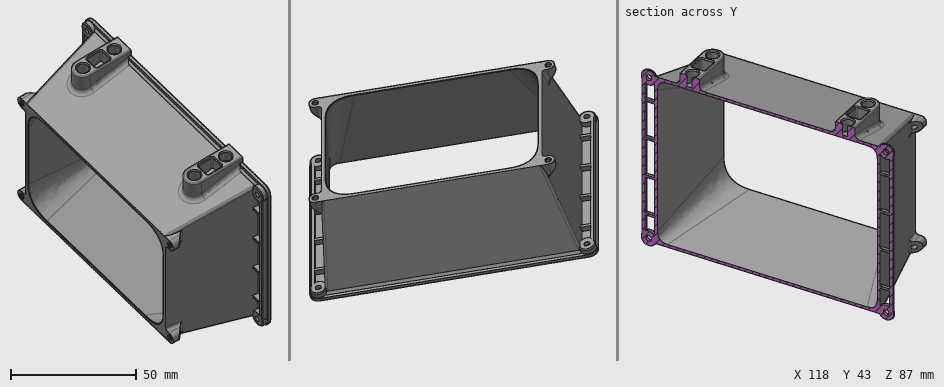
import cadquery as cq


flange_width = 118.0
flange_height = 84.0
flange_thickness = 1.7
flange_corner_radius = 4.0
flange_edge_chamfer = 0.4

depth = 43.0
back_width = 105.7
back_height = 80.5
front_width = 90.4
front_height = 62.0
corner_radius = 1.1
wall = 1.5
back_corner_reach = 4.1
front_corner_reach = 11.8
front_lip_chamfer = 0.2

strip_height = 0.7
strip_depth = 1.1

ear_radius = 3.5
ear_hole_radius = 1.2
rail_depth = 4.0
rail_outer = 58.2
rail_width = 1.7
rail_chamfer = 0.5
rib_pitch = 17.9
rib_count = 4
rib_width = 1.3

lug_radius = 2.6
lug_x = 47.7
lug_straight_depth = 2.8
lug_slope_run = 10.6
lug_hole_radius = 1.0
lug_hole_depth = 7.7
lug_hole_chamfer = 0.4
lug_fillet = 1.4

boss_x = 36.0
boss_top = 45.0
boss_radius = 4.6
boss_length = 21.0
boss_base_fillet = 2.1
boss_top_fillet = 0.6
boss_hole_radius = 2.5
boss_hole_depths = (5.1, boss_length)
boss_pocket_width = 6.1
boss_pocket_length = 7.4
boss_pocket_radius = 0.7
boss_mouth_chamfer = 0.5

margin = 0.1

mouth_taper = 45

ear_x = flange_width / 2 - flange_corner_radius
ear_z = flange_height / 2 - flange_corner_radius
lug_z = front_height / 2 - lug_radius
boss_pocket_depth = sum(boss_hole_depths) / 2
four_corners = [(sx, sz) for sx in (-1, 1) for sz in (-1, 1)]
ear_places = [(sx * ear_x, sz * ear_z) for sx, sz in four_corners]


def wall_x(at_depth):
    """Half width of the funnel's outside at a depth."""
    return (back_width + (front_width - back_width) * at_depth / depth) / 2


def wall_z(at_depth):
    """Half height of the funnel's outside at a depth."""
    return (back_height + (front_height - back_height) * at_depth / depth) / 2


def at(plane_depth):
    """Workplane at a depth; its x is X, its y is Z and it extrudes toward the front."""
    return cq.Workplane("XZ", origin=(0, -plane_depth, 0))


def rounded_rectangle(width, height, radius):
    """Rectangle with equal arcs at its corners."""
    return cq.Sketch().rect(width, height).vertices().fillet(radius)


def opening(at_depth, width, height, reach):
    """Rectangular wire whose corners are smooth parabolic blends that start `reach` from each corner."""
    x, z = width / 2, height / 2
    return (
        at(at_depth)
        .moveTo(reach - x, -z)
        .lineTo(x - reach, -z)
        .bezier([(x, -z), (x, reach - z)], includeCurrent=True)
        .lineTo(x, z - reach)
        .bezier([(x, z), (x - reach, z)], includeCurrent=True)
        .lineTo(reach - x, z)
        .bezier([(-x, z), (-x, z - reach)], includeCurrent=True)
        .lineTo(-x, reach - z)
        .bezier([(-x, -z), (reach - x, -z)], includeCurrent=True)
        .close()
        .val()
    )


def funnel_outside():
    block = at(0).rect(back_width, back_height).workplane(offset=depth)
    block = block.rect(front_width, front_height).loft(combine=True)
    return block.edges("not(|X or |Z)").fillet(corner_radius)


def funnel_inside():
    """Tapered cavity, narrowest just behind the flared front lip."""
    mouth = (front_width - 2 * wall, front_height - 2 * wall)
    throat = [size - 2 * front_lip_chamfer for size in mouth]
    throat_depth = depth - front_lip_chamfer
    back_wire = opening(0, back_width - 2 * wall, back_height - 2 * wall, back_corner_reach)
    throat_wire = opening(throat_depth, *throat, front_corner_reach)
    mouth_wire = opening(depth, *mouth, front_corner_reach)
    cavity = cq.Solid.makeLoft([back_wire, throat_wire], True)
    lip = cq.Solid.makeLoft([throat_wire, mouth_wire], True)
    return cq.Workplane(cavity).union(cq.Workplane(lip))


def add_bosses(body):
    """Upright bosses with round front ends, blended into the sloping top wall."""
    for x in (-boss_x, boss_x):
        boss = (
            cq.Workplane("XY", origin=(x, 0, 0))
            .moveTo(-boss_radius, 0)
            .lineTo(-boss_radius, -boss_length)
            .threePointArc((0, -boss_length - boss_radius), (boss_radius, -boss_length))
            .lineTo(boss_radius, 0)
            .close()
            .extrude(boss_top)
        )
        boss = boss.faces(">Z").edges("not(>Y)").fillet(boss_top_fillet)
        body = body.union(boss)
        base_box = cq.selectors.BoxSelector(
            (x - boss_radius - margin, margin, wall_z(boss_length + boss_radius) - margin),
            (x + boss_radius + margin, -boss_length - boss_radius - margin, wall_z(0) + margin),
            boundingbox=True,
        )
        body = body.edges(base_box).edges("not(>Y)").fillet(boss_base_fillet)
    return body


def boss_hollows(outside):
    """Holes and pockets with chamfered mouths, down to the sloping outer face of the funnel."""
    hollows = cq.Workplane("XY")
    top = cq.Workplane("XY", origin=(0, 0, boss_top))
    pocket = rounded_rectangle(boss_pocket_width, boss_pocket_length, boss_pocket_radius)
    pocket_mouth = rounded_rectangle(
        boss_pocket_width + 2 * boss_mouth_chamfer,
        boss_pocket_length + 2 * boss_mouth_chamfer,
        boss_pocket_radius + boss_mouth_chamfer,
    )
    for x in (-boss_x, boss_x):
        holes = top.pushPoints([(x, -hole_depth) for hole_depth in boss_hole_depths])
        middle = top.center(x, -boss_pocket_depth)
        hollows = hollows.add(holes.circle(boss_hole_radius).extrude(-boss_top))
        hollows = hollows.add(middle.placeSketch(pocket).extrude(-boss_top))
        hole_mouths = holes.circle(boss_hole_radius + boss_mouth_chamfer)
        hollows = hollows.add(hole_mouths.extrude(-boss_mouth_chamfer, taper=mouth_taper))
        wide_pocket = middle.placeSketch(pocket_mouth)
        hollows = hollows.add(wide_pocket.extrude(-boss_mouth_chamfer, taper=mouth_taper))
    return hollows.combine().cut(outside)


def add_lugs(body):
    """Round screw lugs at the front corners, sloping at 45 degrees back into the side walls."""
    tip = lug_x + lug_radius
    root = tip - lug_slope_run
    length = lug_straight_depth + lug_slope_run
    for sx, sz in four_corners:
        lug = at(depth - length).center(sx * lug_x, sz * lug_z).circle(lug_radius).extrude(length)
        neck = at(depth - length).center(sx * (root + lug_x) / 2, sz * lug_z)
        lug = lug.union(neck.rect(lug_x - root, 2 * lug_radius).extrude(length))
        slope = (
            cq.Workplane("XY", origin=(0, 0, sz * lug_z - lug_radius))
            .moveTo(sx * root, -depth)
            .lineTo(sx * tip, -depth)
            .lineTo(sx * tip, -depth + lug_straight_depth)
            .lineTo(sx * root, -depth + length)
            .close()
            .extrude(2 * lug_radius)
        )
        body = body.union(lug.intersect(slope))
        root_box = cq.selectors.BoxSelector(
            (sx * wall_x(depth), -depth, sz * (lug_z - lug_radius - margin)),
            (sx * lug_x, -depth + length, sz * (lug_z + lug_radius / 2)),
        )
        body = body.edges("%BSPLINE").edges(root_box).fillet(lug_fillet)
    return body


def lug_holes():
    holes = cq.Workplane("XY")
    for sx, sz in four_corners:
        place = at(depth).center(sx * lug_x, sz * lug_z)
        hole = place.circle(lug_hole_radius).extrude(-lug_hole_depth)
        mouth = place.circle(lug_hole_radius + lug_hole_chamfer)
        mouth = mouth.extrude(-lug_hole_chamfer, taper=mouth_taper)
        holes = holes.add(hole).add(mouth)
    return holes.combine()


def flange():
    plate = at(0).placeSketch(rounded_rectangle(flange_width, flange_height, flange_corner_radius))
    plate = plate.extrude(flange_thickness).faces(">Y").edges().chamfer(flange_edge_chamfer)
    strip_width = 2 * wall_x(flange_thickness + strip_depth)
    strips = (
        at(flange_thickness)
        .rect(strip_width, 2 * (wall_z(flange_thickness) + strip_height))
        .workplane(offset=strip_depth)
        .rect(strip_width, 2 * wall_z(flange_thickness + strip_depth))
        .loft(combine=True)
    )
    return plate.union(strips)


def ears_and_rails():
    """Ear pads joined by a rail along each side, with ribs running from the rail to the funnel."""
    ears = at(0).pushPoints(ear_places).circle(ear_radius).extrude(rail_depth)
    frame = at(0).rect(2 * rail_outer, 2 * ear_z).extrude(rail_depth).union(ears)
    frame = frame.faces("<Y").edges().chamfer(rail_chamfer)

    rib_places = [(0, (i - (rib_count - 1) / 2) * rib_pitch) for i in range(rib_count)]
    ribs = at(0).pushPoints(rib_places).rect(flange_width, rib_width).extrude(rail_depth)
    pockets = at(flange_thickness).rect(2 * (rail_outer - rail_width), 2 * ear_z).extrude(rail_depth)
    return frame.cut(pockets.cut(ears).cut(ribs))


def ear_holes():
    return at(0).pushPoints(ear_places).circle(ear_hole_radius).extrude(rail_depth)


outside = funnel_outside()
body = add_bosses(add_lugs(outside))
body = body.union(flange()).union(ears_and_rails())
for opening_tool in (boss_hollows(outside), lug_holes(), ear_holes(), funnel_inside()):
    body = body.cut(opening_tool)
result = body